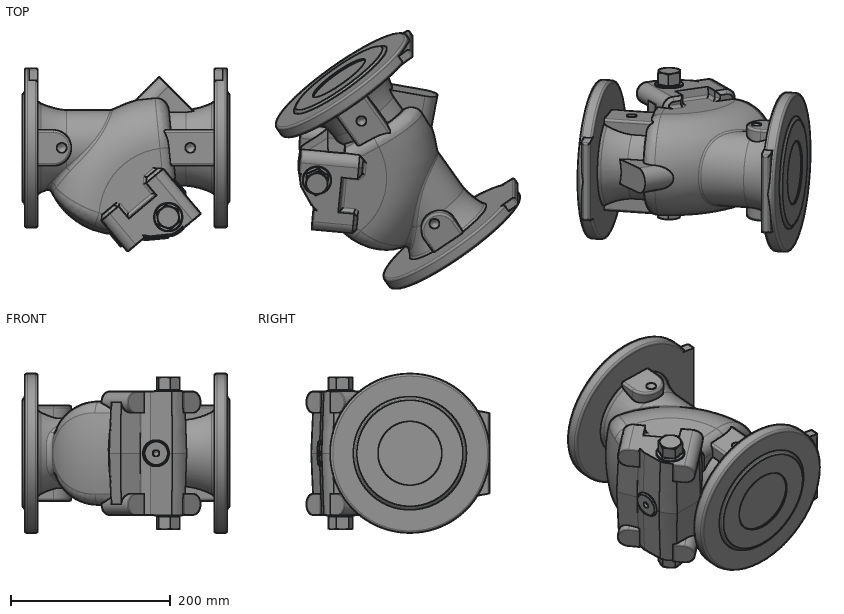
import cadquery as cq
import math

LENGTH = 260.0
FLANGE_RADIUS = 100.0
FLANGE_OUTER_X = 127.0
FLANGE_INNER_X = 110.5
FLANGE_ROUND = 3.0
RAISED_FACE_RADIUS = 69.0
RAISED_FACE_CHAMFER = 2.5
RAISED_FACE_FOOT_RADIUS = 71.0
RAISED_FACE_FOOT_HEIGHT = 1.0
PORT_DIAMETER = 80.0
PORT_DEPTH = 2.0
NECK_RADIUS = 47.5
NECK_END_RADIUS = 56.0
NECK_COLLAR_RADIUS = 58.5
NECK_FLARE_START_X = 75.0
NECK_COLLAR_X = 107.0
NECK_FLARE_SAG = 1.6

FOOT_OUTER_X = 121.5
FOOT_Y = FLANGE_RADIUS
FOOT_HALF_WIDTH = 50.5
FOOT_ROOT_HALF_WIDTH = 53.5
FOOT_ROOT_Y = 83.0
FOOT_ROUND = 2.5

PAD_Z = 60.0
PAD_HALF_WIDTH = 22.5
PAD_LEFT_CENTER_X = -91.0
PAD_RIGHT_START_X = 45.0
PAD_ROUND = 3.0
PAD_HOLE_X = 80.5
PAD_HOLE_DIAMETER = 12.5
PAD_HOLE_DEPTH = 0.5
DRILL_TIP_ANGLE = 118.0
DRILL_OVERSHOOT = 1.0

HINGE_X = 52.9
HINGE_Y = -86.8
BULB_HALF_HEIGHT = 65.0
BULB_FLAT_RADIUS = 87.0
BULB_OVERLAP = 1.0
SEAT_TILT = 5.4
SEAT_OFFSET = 58.0
SEAT_ROUND = 16.0
DOME_RADIUS = 95.0
DOME_X = -7.6
DOME_Y = -14.0
DOME_TOP_RADIUS = 86.0
DOME_ROUND = 18.0
DOME_RIM = cq.selectors.BoxSelector((-90.0, -93.0, -70.0), (-12.0, -45.0, 70.0))

NECK_ROUND = 6.0
NECK_SEAM = cq.selectors.BoxSelector((-97.0, -60.0, -40.0), (-15.0, 60.0, 40.0))

STUB_ANGLE = 45.0
STUB_REACH = 92.4
STUB_HALF_HEIGHT = 16.2
STUB_SIDE = 33.6
STUB_LENGTH = 74.0

BONNET_ANGLE = -50.0
BODY_FLANGE_U = 67.5
COVER_FLANGE_U = 90.5
BONNET_DRAFT = 2.0
BONNET_HALF_HEIGHT = 77.5
BOSS_RADIUS = 13.5
BOSS_Z = BONNET_HALF_HEIGHT - BOSS_RADIUS
BOSS_LEFT_V = -68.7
BOSS_RIGHT_V = 5.5
BOSS_INNER_REACH = 14.5
BOSS_START_U = 45.0
BOSS_START_CHAMFER = 5.0
BOSS_LEFT_END_U = 101.0
BOSS_RIGHT_END_U = 123.5
BOSS_ROUND = 1.0
BOSS_FOOT_ROUND = 4.0
BOSS_FOOT_X = (-14.0, 34.0)
BOSS_FOOT_Y = (-85.0, -30.0)
SIDE_LEFT_V = -84.7
SIDE_RIGHT_V = 21.7
COVER_LEDGE_END = (97.1, -57.9)
COVER_FLAT_START = (106.4, -49.6)
COVER_FLAT_END = (121.9, -26.6)
COVER_ARC_MIDDLE = (124.2, -16.1)
COVER_ARC_END = (122.4, -3.5)
SADDLE_END_U = 80.0
SADDLE_START_U = 58.0
SADDLE_FOOT_U = 67.0
SADDLE_TOP_U = 70.2

WASHER_RADIUS = 18.0
WASHER_TOP_Z = 78.3
WASHER_CHAMFER = 0.8
HEX_NECK_RADIUS = 13.0
HEX_BOTTOM_Z = 79.5
HEX_TOP_Z = 95.5
HEX_CORNER_DIAMETER = 31.2
HEX_TURN = -20.0
HEX_TOP_RADIUS = 13.3
HEX_BEVEL_SLOPE = 0.5

PLUG_CENTER = (37.9, -114.6, 0.0)
PLUG_TILT = 5.5
PLUG_RADIUS = 16.5
PLUG_CHAMFER = 2.0
PLUG_LENGTH = 30.0
PLUG_HOLE_DIAMETER = 8.0
PLUG_HOLE_DEPTH = 5.0


def to_bonnet_frame(shape):
    """Turn a shape laid out along +X so that its X becomes the bonnet axis."""
    return shape.rotate((0, 0, 0), (0, 0, 1), BONNET_ANGLE)


def mirrored_both_ways(shape):
    return shape.union(shape.mirror("XY"))


def block(x_range, y_range, z_range):
    size = [high - low for low, high in (x_range, y_range, z_range)]
    corner = (x_range[0], y_range[0], z_range[0])
    return cq.Workplane("XY").box(*size, centered=False).translate(corner)


def drill(diameter, depth):
    """A drill with a conical tip, entering the plane Z = 0 and pointing down."""
    radius = diameter / 2
    tip = radius / math.tan(math.radians(DRILL_TIP_ANGLE / 2))
    outline = [(0, DRILL_OVERSHOOT), (radius, DRILL_OVERSHOOT), (radius, -depth), (0, -depth - tip)]
    return cq.Workplane("XZ").polyline(outline).close().revolve(360, (0, 0, 0), (0, 1, 0))


def make_flange():
    """Flange, raised face, flared half neck and foot on the +X side."""
    face_x = LENGTH / 2
    flare_middle = (
        (NECK_FLARE_START_X + NECK_COLLAR_X) / 2,
        (NECK_RADIUS + NECK_END_RADIUS) / 2 - NECK_FLARE_SAG,
    )
    pipe = (
        cq.Workplane("XY")
        .lineTo(0, NECK_RADIUS)
        .lineTo(NECK_FLARE_START_X, NECK_RADIUS)
        .threePointArc(flare_middle, (NECK_COLLAR_X, NECK_END_RADIUS))
        .lineTo(FLANGE_INNER_X, NECK_COLLAR_RADIUS)
        .lineTo(FLANGE_OUTER_X, NECK_COLLAR_RADIUS)
        .lineTo(FLANGE_OUTER_X, RAISED_FACE_FOOT_RADIUS)
        .lineTo(FLANGE_OUTER_X + RAISED_FACE_FOOT_HEIGHT, RAISED_FACE_RADIUS)
        .lineTo(face_x, RAISED_FACE_RADIUS - RAISED_FACE_CHAMFER)
        .lineTo(face_x, 0)
        .close()
        .revolve(360, (0, 0, 0), (1, 0, 0))
    )
    thickness = FLANGE_OUTER_X - FLANGE_INNER_X
    disc = (
        cq.Workplane("YZ", origin=(FLANGE_INNER_X, 0, 0))
        .circle(FLANGE_RADIUS)
        .extrude(thickness)
        .edges()
        .fillet(FLANGE_ROUND)
    )
    foot = (
        cq.Workplane("YZ", origin=(FLANGE_INNER_X, 0, 0))
        .moveTo(0, -FOOT_ROOT_HALF_WIDTH)
        .lineTo(FOOT_ROOT_Y, -FOOT_ROOT_HALF_WIDTH)
        .lineTo(FOOT_Y, -FOOT_HALF_WIDTH)
        .lineTo(FOOT_Y, FOOT_HALF_WIDTH)
        .lineTo(FOOT_ROOT_Y, FOOT_ROOT_HALF_WIDTH)
        .lineTo(0, FOOT_ROOT_HALF_WIDTH)
        .close()
        .extrude(FOOT_OUTER_X - FLANGE_INNER_X)
        .faces(">Y")
        .edges()
        .fillet(FOOT_ROUND)
    )
    return pipe.union(disc).union(foot)


def make_pads():
    """Round-ended pad on the left neck and square pad on the right neck."""
    height = 2 * PAD_Z
    width = 2 * PAD_HALF_WIDTH
    base = cq.Workplane("XY", origin=(0, 0, -PAD_Z))
    left_run = PAD_LEFT_CENTER_X + FLANGE_INNER_X
    left = (
        base.moveTo(-FLANGE_INNER_X, -PAD_HALF_WIDTH)
        .hLine(left_run)
        .threePointArc((PAD_LEFT_CENTER_X + PAD_HALF_WIDTH, 0), (PAD_LEFT_CENTER_X, PAD_HALF_WIDTH))
        .hLine(-left_run)
        .close()
        .extrude(height)
    )
    right_run = FLANGE_INNER_X - PAD_RIGHT_START_X
    right = (
        base.center(PAD_RIGHT_START_X + right_run / 2, 0)
        .rect(right_run, width)
        .extrude(height)
    )
    left = left.faces("<Z or >Z").edges("not <X").fillet(PAD_ROUND)
    right = right.faces("<Z or >Z").edges("|X").fillet(PAD_ROUND)
    return left.union(right)


def make_pad_holes():
    cutter = drill(PAD_HOLE_DIAMETER, PAD_HOLE_DEPTH).translate((0, 0, PAD_Z))
    holes = cutter.translate((-PAD_HOLE_X, 0, 0)).union(cutter.translate((PAD_HOLE_X, 0, 0)))
    return mirrored_both_ways(holes)


def make_bulb():
    """Flat-topped ring swept about the hinge, cut by the seat plane and capped by a dome."""
    outer = BULB_FLAT_RADIUS + BULB_HALF_HEIGHT
    sweep = (
        cq.Workplane("XZ")
        .moveTo(0, -BULB_HALF_HEIGHT)
        .lineTo(BULB_FLAT_RADIUS, -BULB_HALF_HEIGHT)
        .threePointArc((outer, 0), (BULB_FLAT_RADIUS, BULB_HALF_HEIGHT))
        .lineTo(0, BULB_HALF_HEIGHT)
        .close()
        .revolve(360, (0, 0, 0), (0, 1, 0))
        .translate((HINGE_X, HINGE_Y, 0))
    )
    reach = 2 * outer
    z_range = (-reach, reach)
    seat_side = block((-reach, SEAT_OFFSET), (-reach, reach), z_range)
    seat_side = seat_side.rotate((0, 0, 0), (0, 0, 1), SEAT_TILT)
    flange_side = to_bonnet_frame(block((-reach, BODY_FLANGE_U + BULB_OVERLAP), (-reach, reach), z_range))
    tilt = math.radians(SEAT_TILT)
    seat_normal = cq.Vector(math.cos(tilt), math.sin(tilt), 0)
    bulb = (
        sweep.intersect(seat_side)
        .intersect(flange_side)
        .faces(cq.selectors.DirectionMinMaxSelector(seat_normal))
        .edges("not |Z")
        .fillet(SEAT_ROUND)
    )
    dome = (
        cq.Workplane("XZ")
        .moveTo(0, -BULB_HALF_HEIGHT)
        .lineTo(DOME_TOP_RADIUS, -BULB_HALF_HEIGHT)
        .threePointArc((DOME_RADIUS, 0), (DOME_TOP_RADIUS, BULB_HALF_HEIGHT))
        .lineTo(0, BULB_HALF_HEIGHT)
        .close()
        .revolve(360, (0, 0, 0), (0, 1, 0))
        .translate((DOME_X, DOME_Y, 0))
    )
    return bulb.intersect(dome).edges(DOME_RIM).fillet(DOME_ROUND)


def make_stub():
    """Bar with rounded edges, leaving the body at 45 degrees."""
    return (
        cq.Workplane("YZ")
        .center(STUB_SIDE - STUB_LENGTH / 2, 0)
        .slot2D(STUB_LENGTH, 2 * STUB_HALF_HEIGHT)
        .extrude(STUB_REACH)
        .rotate((0, 0, 0), (0, 0, 1), STUB_ANGLE)
    )


def make_boss(center_v, inward, end_u):
    """Bolt boss along u: half round on the outer side, square on the inner side."""
    length = end_u - BOSS_START_U
    return (
        cq.Workplane("YZ", origin=(BOSS_START_U, center_v, BOSS_Z))
        .moveTo(0, BOSS_RADIUS)
        .threePointArc((-inward * BOSS_RADIUS, 0), (0, -BOSS_RADIUS))
        .hLine(inward * BOSS_INNER_REACH)
        .vLine(2 * BOSS_RADIUS)
        .close()
        .extrude(length)
        .faces("<X")
        .chamfer(BOSS_START_CHAMFER)
        .faces(">X")
        .fillet(BOSS_ROUND)
    )


def make_bonnet():
    left_boss = make_boss(BOSS_LEFT_V, 1, BOSS_LEFT_END_U)
    right_boss = make_boss(BOSS_RIGHT_V, -1, BOSS_RIGHT_END_U)
    bosses = mirrored_both_ways(left_boss.union(right_boss))

    middle = (
        cq.Workplane("XY")
        .moveTo(BODY_FLANGE_U, SIDE_LEFT_V)
        .lineTo(COVER_FLANGE_U, SIDE_LEFT_V)
        .lineTo(*COVER_LEDGE_END)
        .lineTo(*COVER_FLAT_START)
        .lineTo(*COVER_FLAT_END)
        .threePointArc(COVER_ARC_MIDDLE, COVER_ARC_END)
        .lineTo(COVER_FLANGE_U, SIDE_RIGHT_V)
        .lineTo(BODY_FLANGE_U, SIDE_RIGHT_V)
        .close()
        .extrude(BONNET_HALF_HEIGHT, taper=BONNET_DRAFT)
    )
    u_range = (0, 2 * COVER_FLANGE_U)
    tall = block(u_range, (BOSS_LEFT_V, BOSS_RIGHT_V), (0, BONNET_HALF_HEIGHT))
    wide = block(u_range, (SIDE_LEFT_V, SIDE_RIGHT_V), (0, BOSS_Z))
    cover = mirrored_both_ways(middle.intersect(tall.union(wide)))

    low_v = BOSS_LEFT_V + BOSS_INNER_REACH
    high_v = BOSS_RIGHT_V - BOSS_INNER_REACH
    saddle = (
        cq.Workplane("XZ", origin=(0, high_v, 0))
        .moveTo(SADDLE_START_U, 0)
        .lineTo(SADDLE_START_U, BULB_HALF_HEIGHT)
        .lineTo(SADDLE_FOOT_U, BULB_HALF_HEIGHT)
        .lineTo(SADDLE_TOP_U, BONNET_HALF_HEIGHT)
        .lineTo(SADDLE_END_U, BONNET_HALF_HEIGHT)
        .lineTo(SADDLE_END_U, 0)
        .close()
        .extrude(high_v - low_v)
    )
    return to_bonnet_frame(cover.union(mirrored_both_ways(saddle)).union(bosses))


def make_hinge_screws():
    """Washer face, short neck and hexagon head with a bevelled top, on both hinge ends."""
    base = cq.Workplane("XY")
    washer = (
        base.circle(WASHER_RADIUS)
        .extrude(WASHER_TOP_Z)
        .faces(">Z")
        .chamfer(WASHER_CHAMFER)
    )
    neck = base.circle(HEX_NECK_RADIUS).extrude(HEX_BOTTOM_Z)
    head = (
        base.workplane(offset=HEX_BOTTOM_Z)
        .polygon(6, HEX_CORNER_DIAMETER)
        .extrude(HEX_TOP_Z - HEX_BOTTOM_Z)
        .rotate((0, 0, 0), (0, 0, 1), HEX_TURN)
    )
    bevel_radius = HEX_CORNER_DIAMETER
    bevel_drop = (bevel_radius - HEX_TOP_RADIUS) * HEX_BEVEL_SLOPE
    bevel = (
        cq.Workplane("XZ")
        .polyline([
            (0, 0),
            (bevel_radius, 0),
            (bevel_radius, HEX_TOP_Z - bevel_drop),
            (HEX_TOP_RADIUS, HEX_TOP_Z),
            (0, HEX_TOP_Z),
        ])
        .close()
        .revolve(360, (0, 0, 0), (0, 1, 0))
    )
    screw = washer.union(neck).union(head.intersect(bevel))
    return mirrored_both_ways(screw.translate((HINGE_X, HINGE_Y, 0)))


def place_on_cover(shape):
    """Move a shape whose outer end lies on Z = 0 to the plug seat on the cover."""
    return (
        shape.rotate((0, 0, 0), (1, 0, 0), 90)
        .rotate((0, 0, 0), (0, 0, 1), PLUG_TILT)
        .translate(PLUG_CENTER)
    )


def make_plug():
    plug = (
        cq.Workplane("XY")
        .circle(PLUG_RADIUS)
        .extrude(-PLUG_LENGTH)
        .faces(">Z")
        .chamfer(PLUG_CHAMFER)
    )
    return place_on_cover(plug)


def make_ports():
    """Shallow round recesses in the two raised faces."""
    port = (
        cq.Workplane("YZ", origin=(LENGTH / 2 - PORT_DEPTH, 0, 0))
        .circle(PORT_DIAMETER / 2)
        .extrude(PORT_DEPTH)
    )
    return port.union(port.mirror("YZ"))


def boss_foot_region(flat_z):
    """Selects the straight feet of the bosses and the saddle on one flat face of the bulb."""
    margin = 0.1
    (x_low, x_high), (y_low, y_high) = BOSS_FOOT_X, BOSS_FOOT_Y
    return cq.selectors.BoxSelector((x_low, y_low, flat_z - margin), (x_high, y_high, flat_z + margin))


def make_body():
    """Pipe run blended into the bulb, with the bonnet bosses blended into the bulb's flat faces."""
    right_flange = make_flange()
    run = right_flange.union(right_flange.mirror("YZ"))
    cast = run.union(make_bulb()).edges("%BSPLINE").edges(NECK_SEAM).fillet(NECK_ROUND)
    body = cast.union(make_bonnet())
    for flat_z in (-BULB_HALF_HEIGHT, BULB_HALF_HEIGHT):
        body = body.edges("%LINE").edges(boss_foot_region(flat_z)).fillet(BOSS_FOOT_ROUND)
    return body


result = make_body()
for feature in (make_stub(), make_pads(), make_hinge_screws(), make_plug()):
    result = result.union(feature)
for cutter in (
    make_pad_holes(),
    make_ports(),
    place_on_cover(drill(PLUG_HOLE_DIAMETER, PLUG_HOLE_DEPTH)),
):
    result = result.cut(cutter)